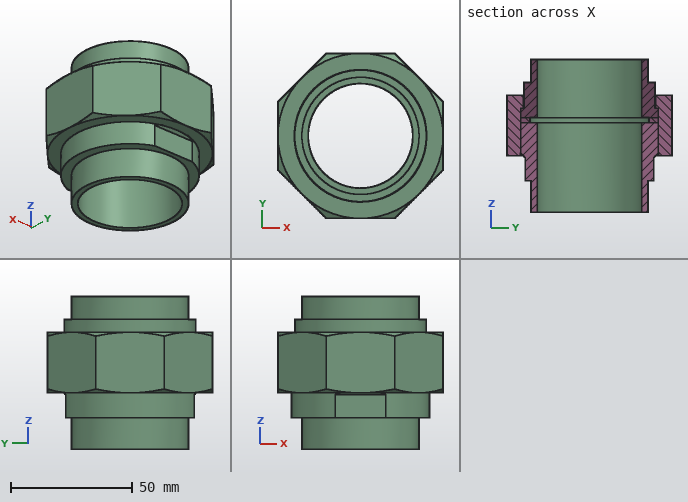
import cadquery as cq
import math


total_height = 63.0
pipe_radius = 48.3 / 2
bore_radius = 43.0 / 2

lower_pipe_length = 13.0
seat_height = 37.0
body_radius = 57.0 / 2
flats_width = 53.0
flats_top = 22.5
cut_margin = 1.0

gasket_thickness = 2.0
gasket_inner_radius = 49.0 / 2

collar_radius = 54.2 / 2
collar_top = 53.5
flange_thickness = 4.0
tailpiece_bottom = seat_height + gasket_thickness
flange_top = tailpiece_bottom + flange_thickness

nut_sides = 8
nut_across_flats = 68.0
nut_bottom = 23.25
nut_height = 25.0
nut_chamfer_angle = 30.0
collar_clearance = 0.2
nut_top = nut_bottom + nut_height
nut_inradius = nut_across_flats / 2
nut_corner_radius = nut_inradius / math.cos(math.pi / nut_sides)


def cylinder(radius, bottom, top):
    """Upright cylinder on the Z axis between two heights."""
    return cq.Workplane("XY").workplane(offset=bottom).circle(radius).extrude(top - bottom)


def flat_cutter():
    """Cutter for the wrench flat on -Y, with a 45 degree run-out at its top."""
    flat = -flats_width / 2
    outside = -body_radius - cut_margin
    runout = flat - outside
    return (
        cq.Workplane("YZ")
        .moveTo(flat, lower_pipe_length)
        .lineTo(flat, flats_top)
        .lineTo(outside, flats_top + runout)
        .lineTo(outside, lower_pipe_length)
        .close()
        .extrude(body_radius, both=True)
    )


def make_lower_body():
    """Lower pipe end and the wider body above it, with two opposite wrench flats."""
    wide_body = cylinder(body_radius, lower_pipe_length, seat_height)
    for angle in (0, 180):
        wide_body = wide_body.cut(flat_cutter().rotate((0, 0, 0), (0, 0, 1), angle))
    pipe = cylinder(pipe_radius, 0, lower_pipe_length)
    return wide_body.union(pipe).cut(cylinder(bore_radius, 0, seat_height))


def make_gasket():
    """Flat ring between the seat and the tailpiece flange, set back from the bore."""
    ring = cylinder(body_radius, seat_height, tailpiece_bottom)
    return ring.cut(cylinder(gasket_inner_radius, seat_height, tailpiece_bottom))


def make_tailpiece():
    """Upper pipe end with a collar through the nut and a flange inside it."""
    flange = cylinder(body_radius, tailpiece_bottom, flange_top)
    collar = cylinder(collar_radius, flange_top, collar_top)
    pipe = cylinder(pipe_radius, collar_top, total_height)
    outside = flange.union(collar).union(pipe)
    return outside.cut(cylinder(bore_radius, tailpiece_bottom, total_height))


def nut_corner_envelope():
    """Round envelope whose conical ends chamfer the nut corners at both faces."""
    drop = (nut_corner_radius - nut_inradius) * math.tan(math.radians(nut_chamfer_angle))
    return (
        cq.Workplane("XZ")
        .moveTo(0, nut_bottom)
        .lineTo(nut_inradius, nut_bottom)
        .lineTo(nut_corner_radius, nut_bottom + drop)
        .lineTo(nut_corner_radius, nut_top - drop)
        .lineTo(nut_inradius, nut_top)
        .lineTo(0, nut_top)
        .close()
        .revolve(360, (0, 0, 0), (0, 1, 0))
    )


def make_nut():
    """Octagonal nut whose upper lip bears on the tailpiece flange."""
    octagon = (
        cq.Workplane("XY")
        .workplane(offset=nut_bottom)
        .polygon(nut_sides, 2 * nut_corner_radius)
        .extrude(nut_height)
        .rotate((0, 0, 0), (0, 0, 1), 180 / nut_sides)
    )
    nut = octagon.intersect(nut_corner_envelope())
    nut = nut.cut(cylinder(body_radius, nut_bottom, flange_top))
    return nut.cut(cylinder(collar_radius + collar_clearance, flange_top, nut_top))


lower_body = make_lower_body()
gasket = make_gasket()
tailpiece = make_tailpiece()
nut = make_nut()

result = cq.Compound.makeCompound([lower_body.val(), gasket.val(), tailpiece.val(), nut.val()])